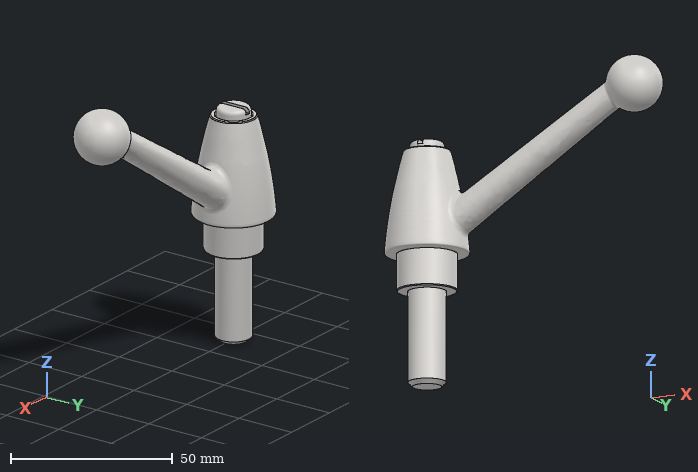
import cadquery as cq
import math

COLLAR_BASE = 30.3
HUB_BASE = 42.1
HUB_TOP = 75.0
SCREW_TOP = 78.0
TOTAL_HEIGHT = 99.0

STUD_DIAMETER = 12.0
STUD_CHAMFER = 1.4
COLLAR_DIAMETER = 19.0
COLLAR_CHAMFER = 0.3

HUB_BASE_DIAMETER = 26.6
HUB_BASE_RADIUS = HUB_BASE_DIAMETER / 2
HUB_MIDDLE_RADIUS = 11.2
HUB_TOP_RADIUS = 7.4
HUB_RIM_HEIGHT = 1.1
HUB_BASE_FILLET = 0.6
HUB_TOP_CHAMFER = 0.3

RECESS_DIAMETER = 12.0
RECESS_DEPTH = 1.5
SCREW_DIAMETER = 11.0
SCREW_FILLET = 1.6
SLOT_WIDTH = 1.7
SLOT_DEPTH = 1.8

BALL_RADIUS = 9.0
OVERALL_LENGTH = 92.3
BALL_X = OVERALL_LENGTH - HUB_BASE_RADIUS - BALL_RADIUS
BALL_Z = TOTAL_HEIGHT - BALL_RADIUS

ARM_ANGLE = 33.7
ARM_AXIS_ABOVE_BALL = 2.0
ARM_LENGTH = BALL_X / math.cos(math.radians(ARM_ANGLE))
ARM_ROOT_WIDTH = 12.4
ARM_ROOT_THICKNESS = 11.5
ARM_TIP_WIDTH = 9.7
ARM_TIP_THICKNESS = 8.7
ARM_ROOT_FILLET = 2.0
ARM_TIP_FILLET = 1.0


def cylinder(diameter, bottom, top):
    return cq.Workplane("XY").workplane(offset=bottom).circle(diameter / 2).extrude(top - bottom)


def make_hub():
    rim_top = HUB_BASE + HUB_RIM_HEIGHT
    middle = (rim_top + HUB_TOP) / 2
    hub = (
        cq.Workplane("XZ")
        .moveTo(0, HUB_BASE)
        .lineTo(HUB_BASE_RADIUS, HUB_BASE)
        .lineTo(HUB_BASE_RADIUS, rim_top)
        .threePointArc((HUB_MIDDLE_RADIUS, middle), (HUB_TOP_RADIUS, HUB_TOP))
        .lineTo(0, HUB_TOP)
        .close()
        .revolve(360, (0, 0, 0), (0, 1, 0))
    )
    hub = hub.faces("<Z").edges().fillet(HUB_BASE_FILLET)
    return hub.faces(">Z").edges().chamfer(HUB_TOP_CHAMFER)


def make_arm():
    angle = math.radians(ARM_ANGLE)
    root_z = BALL_Z + ARM_AXIS_ABOVE_BALL - BALL_X * math.tan(angle)
    root_plane = cq.Plane(
        origin=(0, 0, root_z),
        xDir=(0, 1, 0),
        normal=(math.cos(angle), 0, math.sin(angle)),
    )
    return (
        cq.Workplane(root_plane)
        .ellipse(ARM_ROOT_WIDTH / 2, ARM_ROOT_THICKNESS / 2)
        .workplane(offset=ARM_LENGTH)
        .ellipse(ARM_TIP_WIDTH / 2, ARM_TIP_THICKNESS / 2)
        .loft(combine=True)
    )


def make_handle():
    """Join the hub, arm and ball, then round both ends of the arm."""
    ball = cq.Workplane("XY").sphere(BALL_RADIUS).translate((BALL_X, 0, BALL_Z))
    handle = make_hub().union(make_arm()).union(ball)
    root_zone = cq.selectors.BoxSelector(
        (HUB_TOP_RADIUS, -ARM_ROOT_WIDTH, HUB_BASE + HUB_RIM_HEIGHT),
        (HUB_BASE_RADIUS + ARM_ROOT_FILLET, ARM_ROOT_WIDTH, HUB_TOP - HUB_TOP_CHAMFER),
    )
    handle = handle.edges(root_zone).fillet(ARM_ROOT_FILLET)
    tip_zone = cq.selectors.BoxSelector(
        (BALL_X - BALL_RADIUS, -BALL_RADIUS, BALL_Z - BALL_RADIUS),
        (BALL_X, BALL_RADIUS, BALL_Z + BALL_RADIUS),
    )
    return handle.edges(tip_zone).fillet(ARM_TIP_FILLET)


def make_screw():
    screw = cylinder(SCREW_DIAMETER, HUB_TOP - RECESS_DEPTH, SCREW_TOP)
    screw = screw.faces(">Z").edges().fillet(SCREW_FILLET)
    slot = (
        cq.Workplane("XY")
        .workplane(offset=SCREW_TOP - SLOT_DEPTH)
        .rect(SLOT_WIDTH, 2 * SCREW_DIAMETER)
        .extrude(SLOT_DEPTH)
    )
    return screw.cut(slot)


stud = cylinder(STUD_DIAMETER, 0, COLLAR_BASE).faces("<Z").edges().chamfer(STUD_CHAMFER)
collar = cylinder(COLLAR_DIAMETER, COLLAR_BASE, HUB_BASE).faces("<Z").edges().chamfer(COLLAR_CHAMFER)
recess = cylinder(RECESS_DIAMETER, HUB_TOP - RECESS_DEPTH, HUB_TOP)

result = make_handle().cut(recess).union(make_screw()).union(collar).union(stud)